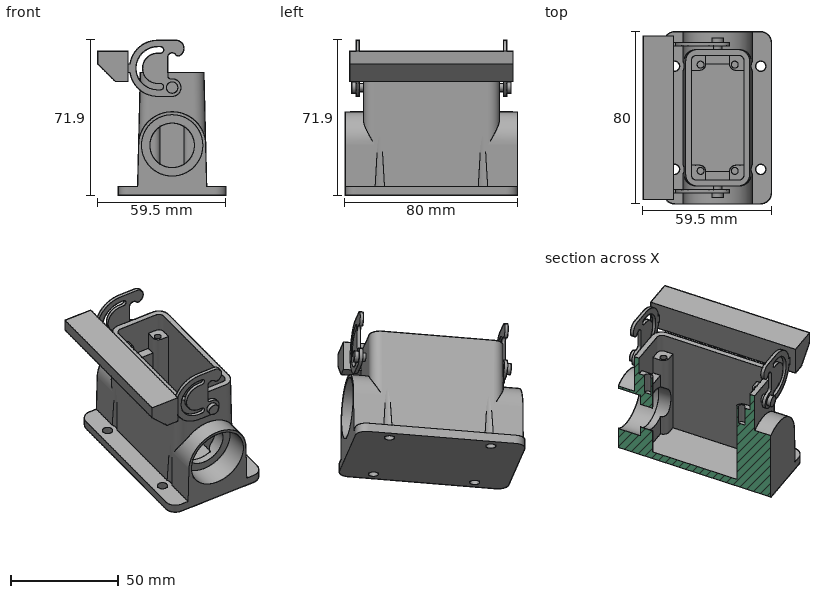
import cadquery as cq
import math


PLATE_WIDTH = 50.0
LENGTH = 80.0
OVERALL_WIDTH = 59.5
PLATE_THICKNESS = 4.2
PLATE_CORNER_RADIUS = 5.2
MOUNT_HOLE_X = 20.0
MOUNT_HOLE_Y = 23.9
MOUNT_HOLE_RADIUS = 2.3
SCREW_CLEARANCE_RADIUS = 4.5

BASE_HALF_WIDTH = 16.1
RIM_HALF_WIDTH = 14.8
RIM_Z = 57.0
TOWER_LENGTH = 63.2
TOWER_CORNER_RADIUS = 5.2
WALL_SLOPE = (BASE_HALF_WIDTH - RIM_HALF_WIDTH) / (RIM_Z - PLATE_THICKNESS)
WALL_LEAN = math.atan(WALL_SLOPE)

CAVITY_WIDTH = 24.5
CAVITY_LENGTH = 57.9
CAVITY_FLOOR_Z = PLATE_THICKNESS
CAVITY_CORNER_RADIUS = 2.6
POST_TOP_Z = 47.8
POST_INNER_X = 5.5
POST_INNER_Y = 22.0
POST_CORNER_RADIUS = 3.0
POST_HOLE_X = 7.9
POST_HOLE_Y = 24.6
POST_HOLE_RADIUS = 1.6
POST_HOLE_DEPTH = 10.0
LEDGE_INNER_Y = POST_INNER_Y + POST_CORNER_RADIUS

ENTRY_Z = 23.2
ENTRY_RADIUS = 14.2
ENTRY_DEPTH = 11.6
THROAT_RADIUS = 10.3
ENTRY_HALF_WIDTH = BASE_HALF_WIDTH - WALL_SLOPE * (ENTRY_Z - PLATE_THICKNESS)
BOSS_RADIUS = ENTRY_HALF_WIDTH * math.cos(WALL_LEAN)
LEDGE_TOP_Z = ENTRY_Z + BOSS_RADIUS

PIVOT_Z = 50.0
PIVOT_EYE_RADIUS = 4.1
PIN_RADIUS = 2.0
PIN_HEAD_RADIUS = 2.6
PIN_HEAD_END_Y = 37.0
LEVER_INNER_Y = 33.4
LEVER_THICKNESS = 1.6
LEVER_X = -6.7
LEVER_RADIUS = 13.0
LEVER_Z = PIVOT_Z - PIVOT_EYE_RADIUS + LEVER_RADIUS
LEVER_TOP_Z = LEVER_Z + LEVER_RADIUS
SLOT_OUTER_RADIUS = 10.0
SLOT_INNER_RADIUS = 7.0
SLOT_END_X = -5.4

HOOK_X = 1.7
HOOK_RADIUS = 3.8
HOOK_TIP_RADIUS = 1.5
NOTCH_RADIUS = 2.0
NOTCH_Z = 64.1
EYE_BLEND_RADIUS = 1.3

BAR_LENGTH = 75.9
BAR_LEFT_X = PLATE_WIDTH / 2 - OVERALL_WIDTH
BAR_RIGHT_X = -20.4
BAR_TOP_Z = 66.9
BAR_BOTTOM_Z = 52.8
BAR_CHAMFER = 8.2
NECK_BOTTOM_Z = 57.0
NECK_TOP_Z = 61.0


def block(x_min, x_max, y_min, y_max, z_min, z_max):
    """Axis-aligned box between two corners."""
    size = (x_max - x_min, y_max - y_min, z_max - z_min)
    return cq.Workplane("XY").box(*size, centered=False).translate((x_min, y_min, z_min))


def along_y(y_start):
    """XZ sketch plane at y_start; use extrude(-depth) to grow toward +Y."""
    return cq.Workplane("XZ", origin=(0, y_start, 0))


def vertical_cylinders(x, y, radius, z_min, z_max):
    """Four cylinders mirrored about X = 0 and Y = 0."""
    spots = [(i * x, j * y) for i in (-1, 1) for j in (-1, 1)]
    plane = cq.Workplane("XY").workplane(offset=z_min)
    return plane.pushPoints(spots).circle(radius).extrude(z_max - z_min)


def on_circle(center, radius, degrees):
    """Point on a circle at an angle measured from the first axis."""
    angle = math.radians(degrees)
    return (center[0] + radius * math.cos(angle), center[1] + radius * math.sin(angle))


def toward(start, end, distance):
    """Point at a distance from start, in the direction of end."""
    ratio = distance / math.dist(start, end)
    return (start[0] + ratio * (end[0] - start[0]), start[1] + ratio * (end[1] - start[1]))


def make_tower():
    outline = [
        (-BASE_HALF_WIDTH, PLATE_THICKNESS),
        (BASE_HALF_WIDTH, PLATE_THICKNESS),
        (RIM_HALF_WIDTH, RIM_Z),
        (-RIM_HALF_WIDTH, RIM_Z),
    ]
    tower = along_y(-TOWER_LENGTH / 2).polyline(outline).close().extrude(-TOWER_LENGTH)
    leaning_edges = tower.faces("<X or >X").edges("<Y or >Y")
    return leaning_edges.fillet(TOWER_CORNER_RADIUS)


def make_end_bosses():
    """Tapered pedestal with a round top, running the full length."""
    tangent_x = BOSS_RADIUS * math.cos(WALL_LEAN)
    tangent_z = ENTRY_Z + BOSS_RADIUS * math.sin(WALL_LEAN)
    profile = (
        along_y(-LENGTH / 2)
        .moveTo(-BASE_HALF_WIDTH, PLATE_THICKNESS)
        .lineTo(BASE_HALF_WIDTH, PLATE_THICKNESS)
        .lineTo(tangent_x, tangent_z)
        .threePointArc((0, ENTRY_Z + BOSS_RADIUS), (-tangent_x, tangent_z))
        .close()
    )
    return profile.extrude(-LENGTH)


def make_cavity():
    """Space to remove from the tower: the pocket less its posts and ledges."""
    half_width = CAVITY_WIDTH / 2
    half_length = CAVITY_LENGTH / 2
    cavity = block(-half_width, half_width, -half_length, half_length, CAVITY_FLOOR_Z, RIM_Z)
    cavity = cavity.edges("|Z").fillet(CAVITY_CORNER_RADIUS)
    for side_y in (-1, 1):
        y_inner, y_outer = sorted((side_y * LEDGE_INNER_Y, side_y * half_length))
        ledge = block(-half_width, half_width, y_inner, y_outer, CAVITY_FLOOR_Z, LEDGE_TOP_Z)
        cavity = cavity.cut(ledge)
        for side_x in (-1, 1):
            x_span = sorted((side_x * POST_INNER_X, side_x * half_width))
            y_span = sorted((side_y * POST_INNER_Y, side_y * half_length))
            post = block(*x_span, *y_span, CAVITY_FLOOR_Z, POST_TOP_Z)
            corner_x = "<X" if side_x > 0 else ">X"
            corner_y = "<Y" if side_y > 0 else ">Y"
            post = post.faces(corner_x).edges(corner_y).fillet(POST_CORNER_RADIUS)
            cavity = cavity.cut(post)
    return cavity


def make_housing():
    plate = cq.Workplane("XY").rect(PLATE_WIDTH, LENGTH).extrude(PLATE_THICKNESS)
    plate = plate.edges("|Z").fillet(PLATE_CORNER_RADIUS)
    screw_clearance = vertical_cylinders(
        MOUNT_HOLE_X, MOUNT_HOLE_Y, SCREW_CLEARANCE_RADIUS, PLATE_THICKNESS, RIM_Z
    )
    walls = make_tower().union(make_end_bosses()).cut(screw_clearance)
    mount_holes = vertical_cylinders(MOUNT_HOLE_X, MOUNT_HOLE_Y, MOUNT_HOLE_RADIUS, 0, PLATE_THICKNESS)
    post_holes = vertical_cylinders(
        POST_HOLE_X, POST_HOLE_Y, POST_HOLE_RADIUS, POST_TOP_Z - POST_HOLE_DEPTH, POST_TOP_Z
    )
    entry = along_y(-LENGTH / 2).center(0, ENTRY_Z).circle(ENTRY_RADIUS).extrude(-ENTRY_DEPTH)
    throat = along_y(-LENGTH / 2).center(0, ENTRY_Z).circle(THROAT_RADIUS).extrude(-LENGTH / 2)
    housing = walls.union(plate).cut(make_cavity())
    return housing.cut(mount_holes).cut(post_holes).cut(entry).cut(throat)


def lever_outline():
    """Outer outline of a lever plate: round back, pivot eye below, hook above."""
    back = (LEVER_X, LEVER_Z)
    eye = (0, PIVOT_Z)
    hook = (HOOK_X, LEVER_TOP_Z - HOOK_RADIUS)
    notch = (0, NOTCH_Z)

    blend_x = EYE_BLEND_RADIUS - NOTCH_RADIUS
    blend_rise = math.sqrt((PIVOT_EYE_RADIUS + EYE_BLEND_RADIUS) ** 2 - blend_x**2)
    blend = (blend_x, PIVOT_Z + blend_rise)
    eye_touch = toward(eye, blend, PIVOT_EYE_RADIUS)

    hook_reach = HOOK_RADIUS - HOOK_TIP_RADIUS
    notch_reach = NOTCH_RADIUS + HOOK_TIP_RADIUS
    gap = math.dist(notch, hook)
    along = (notch_reach**2 - hook_reach**2 + gap**2) / (2 * gap)
    aside = math.sqrt(notch_reach**2 - along**2)
    foot = toward(notch, hook, along)
    tip = (
        foot[0] + aside * (hook[1] - notch[1]) / gap,
        foot[1] - aside * (hook[0] - notch[0]) / gap,
    )
    hook_touch = toward(hook, tip, HOOK_RADIUS)
    notch_touch = toward(notch, tip, NOTCH_RADIUS)

    return (
        along_y(LEVER_INNER_Y)
        .moveTo(LEVER_X, LEVER_TOP_Z)
        .threePointArc(on_circle(back, LEVER_RADIUS, 180), (LEVER_X, LEVER_Z - LEVER_RADIUS))
        .lineTo(0, PIVOT_Z - PIVOT_EYE_RADIUS)
        .threePointArc(on_circle(eye, PIVOT_EYE_RADIUS, 0), eye_touch)
        .threePointArc(on_circle(blend, EYE_BLEND_RADIUS, 225), (-NOTCH_RADIUS, blend[1]))
        .lineTo(-NOTCH_RADIUS, NOTCH_Z)
        .threePointArc(on_circle(notch, NOTCH_RADIUS, 90), notch_touch)
        .threePointArc(on_circle(tip, HOOK_TIP_RADIUS, 270), hook_touch)
        .threePointArc(on_circle(hook, HOOK_RADIUS, 0), (HOOK_X, LEVER_TOP_Z))
        .close()
    )


def lever_slot():
    """C-shaped spring slot, with round ends reached by short straight runs."""
    mid_radius = (SLOT_OUTER_RADIUS + SLOT_INNER_RADIUS) / 2
    end_radius = (SLOT_OUTER_RADIUS - SLOT_INNER_RADIUS) / 2
    cap_x = SLOT_END_X + end_radius
    return (
        along_y(LEVER_INNER_Y)
        .moveTo(LEVER_X, LEVER_Z + SLOT_OUTER_RADIUS)
        .threePointArc((LEVER_X - SLOT_OUTER_RADIUS, LEVER_Z), (LEVER_X, LEVER_Z - SLOT_OUTER_RADIUS))
        .lineTo(SLOT_END_X, LEVER_Z - SLOT_OUTER_RADIUS)
        .threePointArc((cap_x, LEVER_Z - mid_radius), (SLOT_END_X, LEVER_Z - SLOT_INNER_RADIUS))
        .lineTo(LEVER_X, LEVER_Z - SLOT_INNER_RADIUS)
        .threePointArc((LEVER_X - SLOT_INNER_RADIUS, LEVER_Z), (LEVER_X, LEVER_Z + SLOT_INNER_RADIUS))
        .lineTo(SLOT_END_X, LEVER_Z + SLOT_INNER_RADIUS)
        .threePointArc((cap_x, LEVER_Z + mid_radius), (SLOT_END_X, LEVER_Z + SLOT_OUTER_RADIUS))
        .close()
    )


def make_lever_side():
    """Lever plate at the +Y end with its pivot pin and the neck to the handle bar."""
    lever_outer_y = LEVER_INNER_Y + LEVER_THICKNESS
    plate = lever_outline().extrude(-LEVER_THICKNESS)
    neck_end_x = LEVER_X - (LEVER_RADIUS + SLOT_OUTER_RADIUS) / 2
    neck = block(BAR_RIGHT_X, neck_end_x, LEVER_INNER_Y, lever_outer_y, NECK_BOTTOM_Z, NECK_TOP_Z)
    plate = plate.union(neck).cut(lever_slot().extrude(-LEVER_THICKNESS))

    pin_start_y = CAVITY_LENGTH / 2
    pin = along_y(pin_start_y).center(0, PIVOT_Z).circle(PIN_RADIUS).extrude(pin_start_y - lever_outer_y)
    head_length = PIN_HEAD_END_Y - lever_outer_y
    head = along_y(lever_outer_y).center(0, PIVOT_Z).circle(PIN_HEAD_RADIUS).extrude(-head_length)
    return plate.union(pin).union(head)


def make_handle_bar():
    outline = [
        (BAR_LEFT_X, BAR_TOP_Z),
        (BAR_RIGHT_X, BAR_TOP_Z),
        (BAR_RIGHT_X, BAR_BOTTOM_Z),
        (BAR_LEFT_X + BAR_CHAMFER, BAR_BOTTOM_Z),
        (BAR_LEFT_X, BAR_BOTTOM_Z + BAR_CHAMFER),
    ]
    return along_y(-BAR_LENGTH / 2).polyline(outline).close().extrude(-BAR_LENGTH)


lever_side = make_lever_side()
result = (
    make_housing()
    .union(lever_side)
    .union(lever_side.mirror("XZ"))
    .union(make_handle_bar())
)